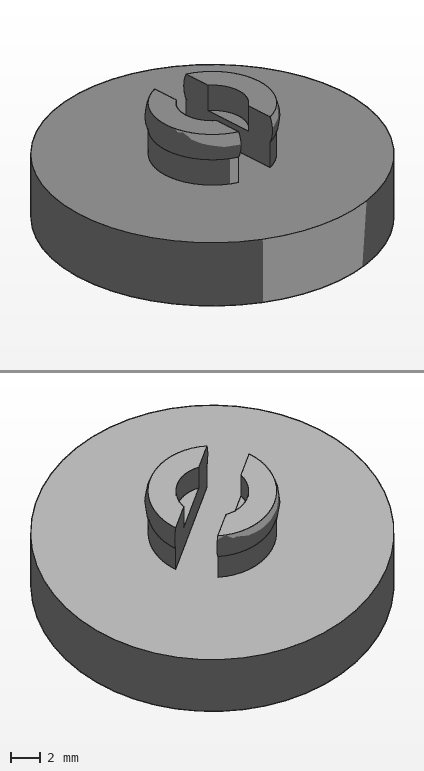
import cadquery as cq

disc_diameter = 25.0
disc_height = 5.0

neck_diameter = 8.85
neck_height = 2.0
bead_diameter = 9.3
bead_height = 2.0

slot_width = 3.0
bore_diameter = 5.0
bore_depth = 2.0

neck_radius = neck_diameter / 2
bead_radius = bead_diameter / 2
neck_top = disc_height + neck_height
bead_middle = neck_top + bead_height / 2
part_top = neck_top + bead_height
post_height = neck_height + bead_height


def make_disc():
    return cq.Workplane("XY").circle(disc_diameter / 2).extrude(disc_height)


def make_post():
    """Revolve the neck and its rounded bead about the Z axis."""
    return (
        cq.Workplane("XZ")
        .moveTo(0, disc_height)
        .lineTo(neck_radius, disc_height)
        .lineTo(neck_radius, neck_top)
        .threePointArc((bead_radius, bead_middle), (neck_radius, part_top))
        .lineTo(0, part_top)
        .close()
        .revolve(360, (0, 0, 0), (0, 1, 0))
    )


def make_slot():
    """Slot along X that splits the post down to the disc."""
    return (
        cq.Workplane("XY")
        .workplane(offset=disc_height)
        .rect(disc_diameter, slot_width)
        .extrude(post_height)
    )


def make_bore():
    """Blind bore from the top of the post."""
    return (
        cq.Workplane("XY")
        .workplane(offset=part_top - bore_depth)
        .circle(bore_diameter / 2)
        .extrude(bore_depth)
    )


split_post = make_post().cut(make_slot()).cut(make_bore())
result = make_disc().union(split_post)